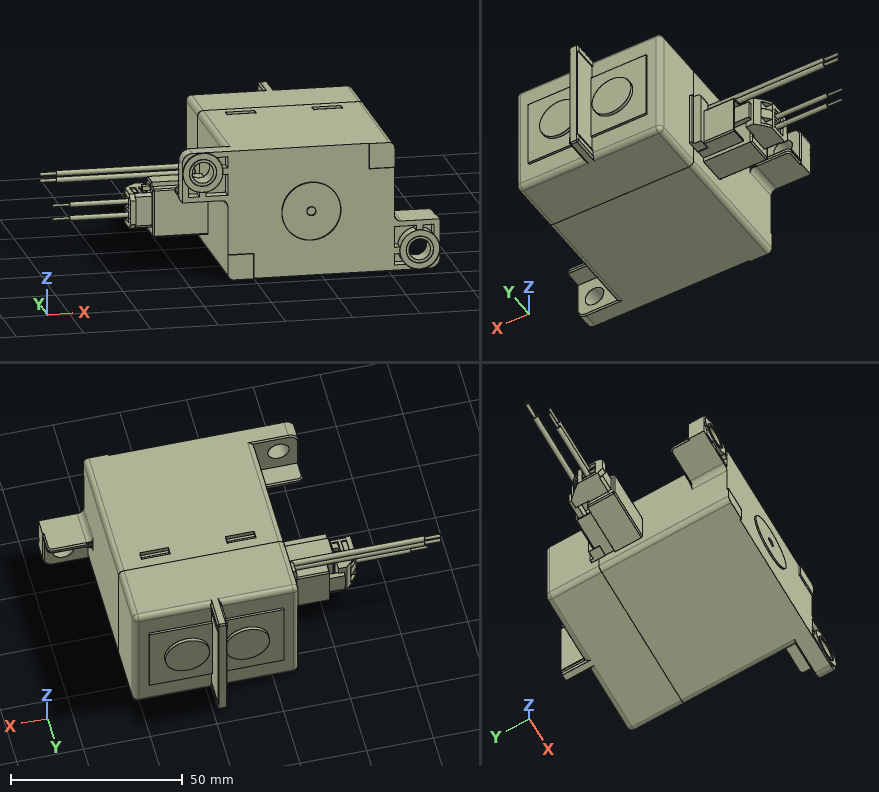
import cadquery as cq


OVERALL_LENGTH = 110.8

CASE_WIDTH = 49.6
CASE_HEIGHT = 39.0
CASE_BACK = 61.4
PARTING_Y = 43.1
CASE_EDGE_RADIUS = 1.7
HALF_WIDTH = CASE_WIDTH / 2
MID_HEIGHT = CASE_HEIGHT / 2

LUG_REACH = 38.3
LUG_HEIGHT = 14.8
LUG_PLATE_DEPTH = 5.5
LUG_SHELF_DEPTH = 11.7
LUG_SHELF_HEIGHT = 1.8
LUG_CORNER_RADIUS = 3.1
LUG_SHELF_RADIUS = 1.5
LUG_ROOT_RADIUS = 1.9
LUG_EDGE_CHAMFER = 0.4
LUG_BOTTOM = CASE_HEIGHT - LUG_HEIGHT
BUSH_X = -32.2
BUSH_DROP = 6.0
BUSH_Z = CASE_HEIGHT - BUSH_DROP
BUSH_DIAMETER = 11.9
BUSH_SEAT_DIAMETER = 8.1
BUSH_SEAT_DEPTH = 0.2
MOUNTING_HOLE_DIAMETER = 6.3
LUG_POCKET_SIZE = 11.6
LUG_POCKET_TOP_WALL = 1.7
LUG_POCKET_DEPTH = 3.3
LUG_RIB_WIDTH = 2.0

PAD_HEIGHT = 0.4
CORNER_PAD_SIZE = 7.6
ROUND_PAD_DIAMETER = 17.5
ROUND_PAD_DIMPLE_DIAMETER = 2.7

LATCH_X = 12.9
LATCH_Y = 38.9
LATCH_LENGTH = 8.5
LATCH_WIDTH = 2.4
LATCH_DEPTH = 1.3
LATCH_RIDGE_OFFSET = 0.3
LATCH_RIDGE_Y = LATCH_Y + LATCH_RIDGE_OFFSET
LATCH_RIDGE_DROP = 0.4

TERMINAL_PLATE_WIDTH = 40.3
TERMINAL_PLATE_HEIGHT = 23.4
TERMINAL_PLATE_THICKNESS = 0.7
TERMINAL_DIAMETER = 13.3
TERMINAL_X = 9.0
TERMINAL_HEIGHT = 1.7
BARRIER_TIP_Y = 69.6
BARRIER_THICKNESS = 3.1
BARRIER_CHAMFER = 0.5
BARRIER_END_HEIGHT = 2.8
BARRIER_RECESS = 0.2
BARRIER_TIP_CHAMFER = 0.4

WALL_X = -HALF_WIDTH
FLANGE_X = -28.3
FLANGE_FRONT = 40.9
FLANGE_BACK = 44.5
FLANGE_BOTTOM = 6.9
FLANGE_TOP = 25.7
FLANGE_EDGE_RADIUS = 1.3
FLANGE_LIP_THICKNESS = 0.9
FLANGE_LIP_BACK = 45.5
SOCKET_X = -41.2
SOCKET_FRONT = 28.4
SOCKET_STEP_Y = 31.6
SOCKET_BACK = 37.7
SOCKET_BOTTOM = 5.7
SOCKET_TOP = 21.6
SOCKET_FRONT_TOP = 20.3
SOCKET_CHAMFER = 0.4
LATCH_HOUSING_X = -38.5
LATCH_HOUSING_BACK = 43.1
LATCH_HOUSING_BOTTOM = 7.1
LATCH_HOUSING_TOP = 20.3
LATCH_HOUSING_WALL = 0.7

PLUG_X = -47.9
PLUG_INNER_X = -33.2
PLUG_FRONT = 29.6
PLUG_BACK = 36.9
PLUG_BOTTOM = 8.3
PLUG_TOP = 18.8
PLUG_CHAMFER = 0.9
PLUG_MID_Z = (PLUG_BOTTOM + PLUG_TOP) / 2
PLUG_RIM_FRONT = 28.5
PLUG_RIM_THICKNESS = 1.7
PLUG_RIM_CHAMFER = 1.7
HUMP_INNER_X = -41.5
HUMP_BACK = 41.2
HUMP_FACE_X = -45.6
CHEEK_SHOULDER_X = -46.3
CHEEK_BACK_X = -44.1
CHEEK_SHOULDER_Y = 39.0
CHEEK_THICKNESS = 1.0
RAMP_WIDTH = 3.5
RAMP_BACK = 39.5
LEVER_X = -43.3
LEVER_INNER_X = -35.5
LEVER_FRONT = 40.9
LEVER_BACK = 42.5
LEVER_WIDTH = 6.2
SIDE_PANEL_FRONT = 31.4
SIDE_PANEL_BACK = 36.6
SIDE_PANEL_DEPTH = 0.4
SIDE_PANEL_WIDTH = 1.5
SIDE_PANEL_CENTRES = (-45.5, -43.0)
KEY_X = -43.3
KEY_FRONT = 32.7
KEY_BACK = 34.7
KEY_TOP = 20.2
WIRE_POCKET_FRONT = 31.0
WIRE_POCKET_BACK = 35.5
WIRE_POCKET_HEIGHT = 3.1
WIRE_POCKET_DEPTH = 0.9

PLUG_WIRE_Y = 33.7
PLUG_WIRE_SPACING = 4.1
PLUG_WIRE_DIAMETER = 1.7
PLUG_CORE_DIAMETER = 0.9
PLUG_WIRE_END_X = -64.9
PLUG_CORE_END_X = -70.0

LEAD_Y = 39.9
LEAD_HEIGHTS = (21.5, 23.5)
LEAD_DIAMETER = 1.8
LEAD_CORE_DIAMETER = 1.1
LEAD_CORE_END_X = LUG_REACH - OVERALL_LENGTH
LEAD_END_X = -67.6
LEAD_BEND_X = -27.9
LEAD_BEND_RADIUS = FLANGE_FRONT - LEAD_Y


def block(x_range, y_range, z_range):
    """Box that fills the given X, Y and Z ranges."""
    size = [high - low for low, high in (x_range, y_range, z_range)]
    corner = (x_range[0], y_range[0], z_range[0])
    return cq.Workplane("XY").box(*size, centered=False).translate(corner)


def disc(diameter, x, z, y_start, y_end):
    """Cylinder along Y."""
    circle = cq.Workplane("XZ", origin=(x, y_start, z)).circle(diameter / 2)
    return circle.extrude(y_start - y_end)


def rod(diameter, y, z, x_start, x_end):
    """Cylinder along X."""
    return cq.Workplane("YZ", origin=(x_start, y, z)).circle(diameter / 2).extrude(x_end - x_start)


def case_block(y_front, y_back):
    """Stretch of the case with its four long edges rounded."""
    case = block((-HALF_WIDTH, HALF_WIDTH), (y_front, y_back), (0, CASE_HEIGHT))
    return case.edges("|Y").fillet(CASE_EDGE_RADIUS)


def half_turn(shape):
    """Copy of a shape, turned half a turn about the middle line of the case."""
    return shape.rotate((0, 0, MID_HEIGHT), (0, 1, MID_HEIGHT), 180)


def lug_body():
    """Plate flush with the top of the case, and a shelf behind its lower edge."""
    inner_x = -HALF_WIDTH + CASE_EDGE_RADIUS
    plate = block((-LUG_REACH, inner_x), (0, LUG_PLATE_DEPTH), (LUG_BOTTOM, CASE_HEIGHT))
    plate = plate.edges("|Y and <X and >Z").fillet(LUG_CORNER_RADIUS)
    plate = plate.faces(">Y").edges("not >X").chamfer(LUG_EDGE_CHAMFER)
    shelf_top = LUG_BOTTOM + LUG_SHELF_HEIGHT
    shelf = block((-LUG_REACH, inner_x), (0, LUG_SHELF_DEPTH), (LUG_BOTTOM, shelf_top))
    shelf = shelf.edges("|Z and <X and >Y").fillet(LUG_SHELF_RADIUS)
    shelf = shelf.faces(">Y").edges(">Z or <Z").chamfer(LUG_EDGE_CHAMFER)
    lower_root = lug_root(LUG_BOTTOM, -1)
    upper_root = lug_root(shelf_top, 1)
    return plate.union(shelf).union(lower_root).union(upper_root)


def lug_root(z, direction):
    """Concave fillet from the level z up (1) or down (-1) the wall of the case."""
    radius = LUG_ROOT_RADIUS
    centre_z = z + direction * radius
    root = block(
        (WALL_X - radius, WALL_X),
        (0, LUG_SHELF_DEPTH),
        (min(z, centre_z), max(z, centre_z)),
    )
    return root.cut(disc(2 * radius, WALL_X - radius, centre_z, 0, LUG_SHELF_DEPTH))


def lug_pocket():
    """Square pocket around the bush, crossed by two ribs that tie the bush to the case and the shelf."""
    top = CASE_HEIGHT - LUG_POCKET_TOP_WALL
    bottom = top - LUG_POCKET_SIZE
    y_range = (0, LUG_POCKET_DEPTH)
    half_rib = LUG_RIB_WIDTH / 2
    pocket = block((WALL_X - LUG_POCKET_SIZE, WALL_X), y_range, (bottom, top))
    side_rib = block((BUSH_X, WALL_X), y_range, (BUSH_Z - half_rib, BUSH_Z + half_rib))
    lower_rib = block((BUSH_X - half_rib, BUSH_X + half_rib), y_range, (bottom, BUSH_Z))
    bush = disc(BUSH_DIAMETER, BUSH_X, BUSH_Z, *y_range)
    return pocket.cut(side_rib).cut(lower_rib).cut(bush)


def add_lug(base, turn):
    """Add one lug with its pocket, raised bush and mounting hole; `turn` places the shapes."""
    seat_bottom = BUSH_SEAT_DEPTH - PAD_HEIGHT
    bush_face = disc(BUSH_DIAMETER, BUSH_X, BUSH_Z, -PAD_HEIGHT, 0)
    seat = disc(BUSH_SEAT_DIAMETER, BUSH_X, BUSH_Z, -PAD_HEIGHT, seat_bottom)
    hole = disc(MOUNTING_HOLE_DIAMETER, BUSH_X, BUSH_Z, -PAD_HEIGHT, LUG_PLATE_DEPTH)
    base = base.union(turn(lug_body())).cut(turn(lug_pocket())).union(turn(bush_face))
    return base.cut(turn(seat)).cut(turn(hole))


def corner_pad():
    """Square pad in the lower left corner of the front face."""
    pad = block(
        (-HALF_WIDTH, -HALF_WIDTH + CORNER_PAD_SIZE),
        (-PAD_HEIGHT, 0),
        (0, CORNER_PAD_SIZE),
    )
    return pad.edges("|Y and <X and <Z").fillet(CASE_EDGE_RADIUS)


def round_pad():
    """Round pad in the middle of the front face, with a dimple."""
    pad = disc(ROUND_PAD_DIAMETER, 0, MID_HEIGHT, -PAD_HEIGHT, 0)
    return pad.cut(disc(ROUND_PAD_DIMPLE_DIAMETER, 0, MID_HEIGHT, -PAD_HEIGHT, 0))


def latch_window(x):
    """Window in the top face whose floor rises to a ridge."""
    floor = CASE_HEIGHT - LATCH_DEPTH
    front = LATCH_Y - LATCH_WIDTH / 2
    back = LATCH_Y + LATCH_WIDTH / 2
    profile = [
        (front, CASE_HEIGHT),
        (front, floor),
        (LATCH_RIDGE_Y, CASE_HEIGHT - LATCH_RIDGE_DROP),
        (back, floor),
        (back, CASE_HEIGHT),
    ]
    outline = cq.Workplane("YZ", origin=(x, 0, 0)).polyline(profile).close()
    return outline.extrude(LATCH_LENGTH / 2, both=True)


def make_base():
    base = case_block(0, PARTING_Y)
    base = add_lug(base, lambda shape: shape)
    base = add_lug(base, half_turn)
    base = base.union(corner_pad()).union(half_turn(corner_pad())).union(round_pad())
    for x in (-LATCH_X, LATCH_X):
        base = base.cut(latch_window(x))
    return base


def barrier():
    """Upright wall between the terminals, with beveled edges and slightly thinner between its two ends."""
    half_thickness = BARRIER_THICKNESS / 2
    y_range = (CASE_BACK - CASE_EDGE_RADIUS, BARRIER_TIP_Y)
    wall = block((-half_thickness, half_thickness), y_range, (0, CASE_HEIGHT))
    wall = wall.edges("|Y").chamfer(BARRIER_CHAMFER).edges(">Y").chamfer(BARRIER_TIP_CHAMFER)
    z_range = (BARRIER_END_HEIGHT, CASE_HEIGHT - BARRIER_END_HEIGHT)
    web_face = half_thickness - BARRIER_RECESS
    for x_range in ((-half_thickness, -web_face), (web_face, half_thickness)):
        wall = wall.cut(block(x_range, y_range, z_range))
    return wall


def make_cover():
    cover = case_block(PARTING_Y, CASE_BACK).faces(">Y").edges().fillet(CASE_EDGE_RADIUS)
    half_plate_width = TERMINAL_PLATE_WIDTH / 2
    half_plate_height = TERMINAL_PLATE_HEIGHT / 2
    plate = block(
        (-half_plate_width, half_plate_width),
        (CASE_BACK, CASE_BACK + TERMINAL_PLATE_THICKNESS),
        (MID_HEIGHT - half_plate_height, MID_HEIGHT + half_plate_height),
    )
    cover = cover.union(plate)
    for x in (-TERMINAL_X, TERMINAL_X):
        cover = cover.union(disc(TERMINAL_DIAMETER, x, MID_HEIGHT, CASE_BACK, CASE_BACK + TERMINAL_HEIGHT))
    return cover.union(barrier())


def plug_insert():
    """Part of the plug that fills the socket."""
    insert = block((PLUG_X, PLUG_INNER_X), (PLUG_FRONT, PLUG_BACK), (PLUG_BOTTOM, PLUG_TOP))
    return insert.edges("|X and <Y").chamfer(PLUG_CHAMFER)


def plug_lever():
    """Latch lever, reaching from the hump of the plug into the latch housing of the header."""
    half_width = LEVER_WIDTH / 2
    return block(
        (LEVER_X, LEVER_INNER_X),
        (LEVER_FRONT, LEVER_BACK),
        (PLUG_MID_Z - half_width, PLUG_MID_Z + half_width),
    )


def plug_key():
    """Key on top of the plug, running into the socket."""
    return block((KEY_X, PLUG_INNER_X), (KEY_FRONT, KEY_BACK), (PLUG_TOP, KEY_TOP))


def make_header():
    flange = block((FLANGE_X, WALL_X), (FLANGE_FRONT, FLANGE_BACK), (FLANGE_BOTTOM, FLANGE_TOP))
    flange = flange.edges("|Y and <X and >Z").fillet(FLANGE_EDGE_RADIUS)
    lip = block(
        (WALL_X - FLANGE_LIP_THICKNESS, WALL_X),
        (FLANGE_FRONT, FLANGE_LIP_BACK),
        (FLANGE_BOTTOM, FLANGE_TOP),
    )
    socket = block((SOCKET_X, WALL_X), (SOCKET_STEP_Y, SOCKET_BACK), (SOCKET_BOTTOM, SOCKET_TOP))
    socket_front = block((SOCKET_X, WALL_X), (SOCKET_FRONT, SOCKET_BACK), (SOCKET_BOTTOM, SOCKET_FRONT_TOP))
    socket = socket.union(socket_front)
    socket = socket.edges("|X and <Y").chamfer(SOCKET_CHAMFER).faces("<X").edges().chamfer(SOCKET_CHAMFER)
    latch_housing = block(
        (LATCH_HOUSING_X, WALL_X),
        (SOCKET_BACK, LATCH_HOUSING_BACK),
        (LATCH_HOUSING_BOTTOM, LATCH_HOUSING_TOP),
    )
    latch_housing = latch_housing.edges("|X and >Y").chamfer(SOCKET_CHAMFER)
    opening = block(
        (LATCH_HOUSING_X, LEVER_INNER_X),
        (SOCKET_BACK, LEVER_BACK),
        (LATCH_HOUSING_BOTTOM + LATCH_HOUSING_WALL, LATCH_HOUSING_TOP - LATCH_HOUSING_WALL),
    )
    latch_housing = latch_housing.cut(opening)
    header = socket.union(latch_housing).union(flange).union(lip)
    return header.cut(plug_insert()).cut(plug_lever()).cut(plug_key())


def plug_hump():
    """Hump behind the plug that carries the lever: a block between two cheeks, with a ramp on its face."""
    height = PLUG_TOP - PLUG_BOTTOM
    cheek_profile = [
        (PLUG_X, PLUG_BACK),
        (HUMP_INNER_X, PLUG_BACK),
        (HUMP_INNER_X, HUMP_BACK),
        (CHEEK_BACK_X, HUMP_BACK),
        (CHEEK_SHOULDER_X, CHEEK_SHOULDER_Y),
    ]
    ramp_profile = [(PLUG_X, PLUG_BACK), (HUMP_FACE_X, PLUG_BACK), (HUMP_FACE_X, RAMP_BACK)]
    setback = block((PLUG_X, HUMP_FACE_X), (PLUG_BACK, HUMP_BACK), (PLUG_BOTTOM, PLUG_TOP))
    middle_width = height - 2 * CHEEK_THICKNESS
    middle = hump_slab(cheek_profile, middle_width)
    cheeks = hump_slab(cheek_profile, height).cut(middle)
    middle = middle.cut(setback)
    return cheeks.union(middle).union(hump_slab(ramp_profile, RAMP_WIDTH))


def hump_slab(profile, width):
    """Slab with an XY profile, centred on the mid-height of the plug."""
    outline = cq.Workplane("XY", origin=(0, 0, PLUG_MID_Z)).polyline(profile).close()
    return outline.extrude(width / 2, both=True)


def make_plug():
    rim = block((PLUG_X, PLUG_X + PLUG_RIM_THICKNESS), (PLUG_RIM_FRONT, PLUG_BACK), (PLUG_BOTTOM, PLUG_TOP))
    rim = rim.edges("|X and <Y").chamfer(PLUG_RIM_CHAMFER)
    plug = plug_insert().union(rim).union(plug_hump()).union(plug_lever()).union(plug_key())
    for x in SIDE_PANEL_CENTRES:
        plug = plug.cut(
            block(
                (x - SIDE_PANEL_WIDTH / 2, x + SIDE_PANEL_WIDTH / 2),
                (SIDE_PANEL_FRONT, SIDE_PANEL_BACK),
                (PLUG_TOP - SIDE_PANEL_DEPTH, PLUG_TOP),
            )
        )
    for side in (-1, 1):
        wire_z = PLUG_MID_Z + side * PLUG_WIRE_SPACING / 2
        half_pocket = WIRE_POCKET_HEIGHT / 2
        pocket = block(
            (PLUG_X, PLUG_X + WIRE_POCKET_DEPTH),
            (WIRE_POCKET_FRONT, WIRE_POCKET_BACK),
            (wire_z - half_pocket, wire_z + half_pocket),
        )
        wire = rod(PLUG_WIRE_DIAMETER, PLUG_WIRE_Y, wire_z, PLUG_WIRE_END_X, PLUG_X + WIRE_POCKET_DEPTH)
        core = rod(PLUG_CORE_DIAMETER, PLUG_WIRE_Y, wire_z, PLUG_CORE_END_X, PLUG_WIRE_END_X)
        plug = plug.cut(pocket).union(wire).union(core)
    return plug


def make_lead(z):
    """Insulated lead with a bare end, bent a quarter turn into the flange."""
    core = rod(LEAD_CORE_DIAMETER, LEAD_Y, z, LEAD_CORE_END_X, LEAD_END_X)
    straight = rod(LEAD_DIAMETER, LEAD_Y, z, LEAD_END_X, LEAD_BEND_X)
    bend = (
        cq.Workplane("YZ", origin=(LEAD_BEND_X, LEAD_Y, z))
        .circle(LEAD_DIAMETER / 2)
        .revolve(90, (LEAD_BEND_RADIUS, 0), (LEAD_BEND_RADIUS, 1))
    )
    return core.union(straight).union(bend)


base = make_base()
cover = make_cover()
header = make_header()
plug = make_plug()
leads = [make_lead(z) for z in LEAD_HEIGHTS]

result = cq.Compound.makeCompound(
    [base.val(), cover.val(), header.val(), plug.val()] + [lead.val() for lead in leads]
)